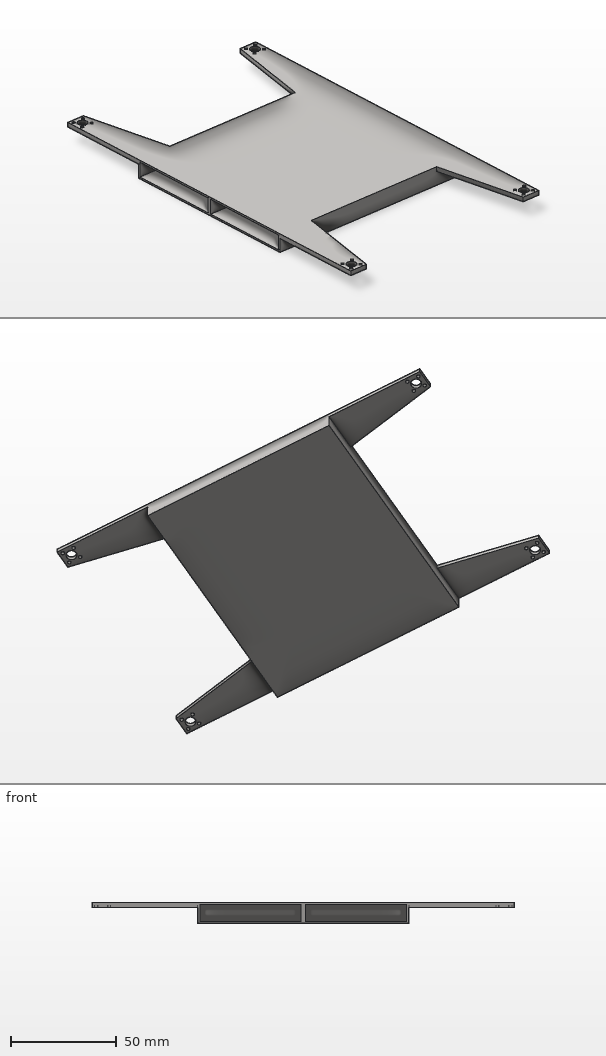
import cadquery as cq

LENGTH = 200.0
WIDTH = 120.0
HEIGHT = 10.0

PLATE_THICKNESS = 2.5
BODY_LENGTH = 100.0
ARM_TIP_WIDTH = 10.0
ARM_ROOT_WIDTH = 20.0

WALL = 1.0
DIVIDER = 2.0
END_WALL = 1.0

SHAFT_HOLE_DIAMETER = 5.1
SCREW_HOLE_DIAMETER = 1.6
SCREW_CIRCLE_DIAMETER = 8.5
SCREW_COUNT = 4
SCREW_START_ANGLE = 45
HOLE_INSET = ARM_TIP_WIDTH / 2

HALF_LENGTH = LENGTH / 2
HALF_WIDTH = WIDTH / 2
HALF_BODY = BODY_LENGTH / 2


def make_plate():
    """Full-length plate with a trapezoidal notch in each X side, leaving four arms."""
    tip_y = HALF_WIDTH - ARM_TIP_WIDTH
    root_y = HALF_WIDTH - ARM_ROOT_WIDTH
    plate_bottom = HEIGHT - PLATE_THICKNESS
    outline = [
        (-HALF_LENGTH, HALF_WIDTH),
        (HALF_LENGTH, HALF_WIDTH),
        (HALF_LENGTH, tip_y),
        (HALF_BODY, root_y),
        (HALF_BODY, -root_y),
        (HALF_LENGTH, -tip_y),
        (HALF_LENGTH, -HALF_WIDTH),
        (-HALF_LENGTH, -HALF_WIDTH),
        (-HALF_LENGTH, -tip_y),
        (-HALF_BODY, -root_y),
        (-HALF_BODY, root_y),
        (-HALF_LENGTH, tip_y),
    ]
    return cq.Workplane("XY", origin=(0, 0, plate_bottom)).polyline(outline).close().extrude(PLATE_THICKNESS)


def make_body():
    """Solid block under and through the middle of the plate."""
    return cq.Workplane("XY").box(BODY_LENGTH, WIDTH, HEIGHT, centered=(True, True, False))


def make_compartments():
    """Volumes of the two compartments, running from the -Y face to the end wall."""
    compartment_length = (BODY_LENGTH - DIVIDER) / 2 - WALL
    compartment_height = HEIGHT - 2 * WALL
    compartment_depth = WIDTH - END_WALL
    center_x = (DIVIDER + compartment_length) / 2
    return (
        cq.Workplane("XY", origin=(0, -HALF_WIDTH, WALL))
        .pushPoints([(-center_x, 0), (center_x, 0)])
        .box(compartment_length, compartment_depth, compartment_height, centered=(True, False, False))
    )


def make_arm_holes():
    """Cylinders for the hole group at all four arm tips, long enough to pass right through."""
    tip_centers = cq.Workplane("XY").rect(
        LENGTH - 2 * HOLE_INSET, WIDTH - 2 * HOLE_INSET, forConstruction=True
    ).vertices()
    holes = tip_centers.circle(SHAFT_HOLE_DIAMETER / 2).extrude(HEIGHT)
    for tip in tip_centers.vals():
        screw_holes = (
            cq.Workplane("XY", origin=tip.toTuple())
            .polarArray(SCREW_CIRCLE_DIAMETER / 2, SCREW_START_ANGLE, 360, SCREW_COUNT, rotate=False)
            .circle(SCREW_HOLE_DIAMETER / 2)
            .extrude(HEIGHT)
        )
        holes = holes.union(screw_holes)
    return holes


result = make_plate().union(make_body()).cut(make_compartments()).cut(make_arm_holes())